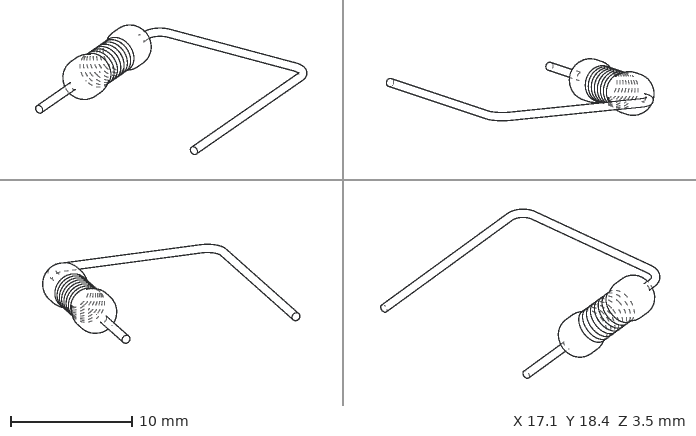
import cadquery as cq
import math


wire_radius = 0.7 / 2
lead_pitch = 15.0
crossbar_y = 18.0
bend_radius = 1.4

body_centre_y = 10.6
body_half_length = 5.0
cap_radius = 3.5 / 2
dome_radius = 1.25
wire_fillet_radius = 0.35

neck_radius = 2.98 / 2
band_radius = 3.0 / 2
band_count = 4
waist_half_length = 1.8
shoulder_length = 1.02

band_width = 2 * waist_half_length / (2 * band_count - 1)


def dome_points():
    """Named points (radius, distance from body centre) along the rounded end, from the cap to the wire."""
    dome_x = cap_radius - dome_radius
    dome_y = body_half_length - dome_radius
    fillet_x = wire_radius + wire_fillet_radius
    centre_distance = dome_radius + wire_fillet_radius
    tangent_angle = math.acos((fillet_x - dome_x) / centre_distance)
    fillet_y = dome_y + centre_distance * math.sin(tangent_angle)

    def on_dome(angle):
        return (dome_x + dome_radius * math.cos(angle), dome_y + dome_radius * math.sin(angle))

    fillet_angle = math.pi + tangent_angle / 2
    fillet_middle = (
        fillet_x + wire_fillet_radius * math.cos(fillet_angle),
        fillet_y + wire_fillet_radius * math.sin(fillet_angle),
    )
    return {
        "start": on_dome(0),
        "middle": on_dome(tangent_angle / 2),
        "tangent": on_dome(tangent_angle),
        "fillet_middle": fillet_middle,
        "wire": (wire_radius, fillet_y),
    }


def make_end_cap():
    """End cap on the +Y side of the waist, with its shoulder, dome and wire fillet."""
    dome = dome_points()
    neck_start = waist_half_length - band_width
    shoulder_middle = ((neck_radius + cap_radius) / 2, waist_half_length + shoulder_length / 2)
    shoulder_end = (cap_radius, waist_half_length + shoulder_length)
    profile = (
        cq.Workplane("XY")
        .moveTo(0, neck_start)
        .lineTo(neck_radius, neck_start)
        .lineTo(neck_radius, waist_half_length)
        .tangentArcPoint(shoulder_middle, relative=False)
        .tangentArcPoint(shoulder_end, relative=False)
        .lineTo(*dome["start"])
        .threePointArc(dome["middle"], dome["tangent"])
        .threePointArc(dome["fillet_middle"], dome["wire"])
        .lineTo(0, dome["wire"][1])
        .close()
    )
    return profile.revolve(360, (0, 0, 0), (0, 1, 0))


def waist_cylinder(radius, start_y, length):
    """Cylinder around the body axis, running from start_y toward +Y."""
    return cq.Workplane("XZ", origin=(0, start_y, 0)).circle(radius).extrude(-length)


def make_waist():
    """Plain waist with raised colour bands, centred on the body."""
    waist = waist_cylinder(neck_radius, -waist_half_length, 2 * waist_half_length)
    for index in range(band_count):
        start_y = -waist_half_length + 2 * index * band_width
        waist = waist.union(waist_cylinder(band_radius, start_y, band_width))
    return waist


def make_body():
    cap = make_end_cap()
    body = make_waist().union(cap).union(cap.mirror("XZ"))
    return body.translate((0, body_centre_y, 0))


def make_wire():
    """One round wire through the body and around two bends."""
    bend_start_y = crossbar_y - bend_radius
    path = (
        cq.Workplane("XY")
        .lineTo(0, bend_start_y)
        .tangentArcPoint((bend_radius, crossbar_y), relative=False)
        .lineTo(lead_pitch - bend_radius, crossbar_y)
        .tangentArcPoint((lead_pitch, bend_start_y), relative=False)
        .lineTo(lead_pitch, 0)
    )
    return cq.Workplane("XZ").circle(wire_radius).sweep(path)


result = make_body().union(make_wire())